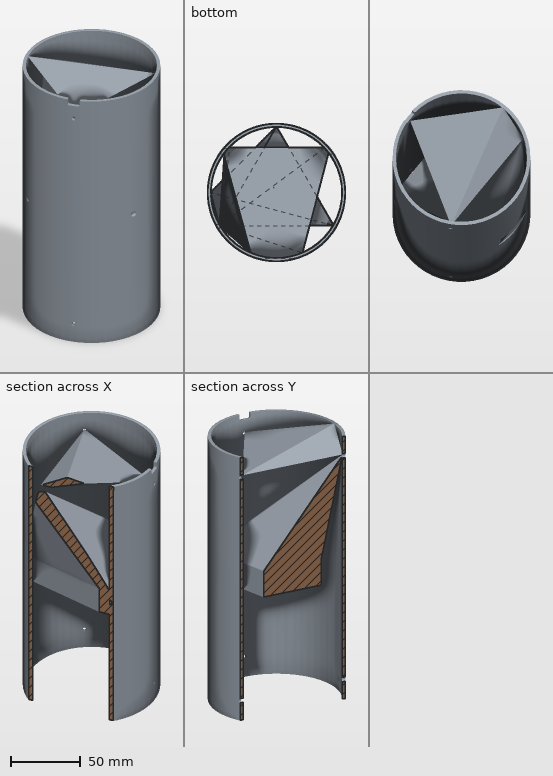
import cadquery as cq
import math

length = 204.0
outer_radius = 99.0 / 2
wall = 2.5
bore_radius = outer_radius - wall
embed = 0.5
contact_radius = bore_radius + embed

pin_diameter = 3.0
pin_end_distance = 15.3
pin_angles = (-90, 30, 150)
cross_hole_diameter = 4.0
cross_hole_y = -29.8
cross_hole_z = 102.6
notch_width = 9.0
notch_depth = 4.7
notch_corner = 1.2
window_height = 15.7
window_z = 101.4

triangle_z = 189.7
peak_z = length
cone_base_z = 112.2
cone_foot_height = 20.5
cone_tip_scale = 0.01
cone_front_y = -32.5


def point_on_wall(angle, z):
    """Contact point between an inner body and the wall."""
    a = math.radians(angle)
    return cq.Vector(contact_radius * math.cos(a), contact_radius * math.sin(a), z)


def make_tube():
    return cq.Workplane("XY").circle(outer_radius).circle(bore_radius).extrude(length)


def make_tetrahedron():
    """Equilateral base triangle with its peak against the -X wall."""
    corners = [point_on_wall(angle, triangle_z) for angle in pin_angles]
    peak = point_on_wall(180, peak_z)
    triangles = [corners]
    for i in range(3):
        triangles.append([corners[i], corners[(i + 1) % 3], peak])
    faces = [cq.Face.makeFromWires(cq.Wire.makePolygon(t, close=True)) for t in triangles]
    return cq.Workplane(cq.Solid.makeSolid(cq.Shell.makeShell(faces)))


def cone_section(scale):
    """Cone outline, shrunk towards the tip on the tetrahedron's -X +Y corner."""
    tip = point_on_wall(150, triangle_z)

    def place(x, y):
        return tip + (cq.Vector(x, y, cone_base_z) - tip) * scale

    front_left = place(-33.7, cone_front_y)
    front_right = place(34.7, cone_front_y)
    right_start = place(37.3, -28.0)
    right_end = place(18.8, 43.2)
    back_middle = place(0, contact_radius)
    back_left = place(-18.4, 43.7)
    left_end = place(-37.5, -26.5)
    edges = [
        cq.Edge.makeLine(front_left, front_right),
        cq.Edge.makeThreePointArc(front_right, place(37.0, -30.8), right_start),
        cq.Edge.makeLine(right_start, right_end),
        cq.Edge.makeThreePointArc(right_end, back_middle, back_left),
        cq.Edge.makeLine(back_left, left_end),
        cq.Edge.makeThreePointArc(left_end, place(-36.3, -30.5), front_left),
    ]
    return cq.Wire.assembleEdges(edges)


def make_cone():
    """Oblique cone rising to the tetrahedron corner, on a straight foot of the same outline."""
    base = cone_section(1)
    taper = cq.Solid.makeLoft([base, cone_section(cone_tip_scale)], True)
    foot = cq.Solid.extrudeLinear(base, [], cq.Vector(0, 0, -cone_foot_height))
    return cq.Workplane(taper).union(cq.Workplane(foot))


def cut_pin_holes(tube):
    """Two rings of three radial pin holes."""
    for z in (pin_end_distance, length - pin_end_distance):
        for angle in pin_angles:
            a = math.radians(angle)
            hole = cq.Solid.makeCylinder(
                pin_diameter / 2, 2 * outer_radius, cq.Vector(0, 0, z), cq.Vector(math.cos(a), math.sin(a), 0)
            )
            tube = tube.cut(cq.Workplane(hole))
    return tube


def cut_cross_hole(tube):
    """Off-centre hole along X through both walls."""
    hole = (
        cq.Workplane("YZ")
        .center(cross_hole_y, cross_hole_z)
        .circle(cross_hole_diameter / 2)
        .extrude(outer_radius, both=True)
    )
    return tube.cut(hole)


def cut_notch(tube):
    """Key notch in the top rim, through the -Y wall only."""
    notch = (
        cq.Workplane("XY")
        .box(notch_width, outer_radius, 2 * notch_depth)
        .edges("|Y")
        .fillet(notch_corner)
        .translate((0, -outer_radius, length))
    )
    return tube.cut(notch)


def cut_window(body):
    """Flat window tangent to the bore on the +Y side."""
    window = (
        cq.Workplane("XY")
        .box(2 * outer_radius, wall, window_height)
        .translate((0, bore_radius + wall / 2, window_z))
    )
    return body.cut(window)


tube = cut_notch(cut_cross_hole(cut_pin_holes(make_tube())))
result = cut_window(tube.union(make_tetrahedron()).union(make_cone()))